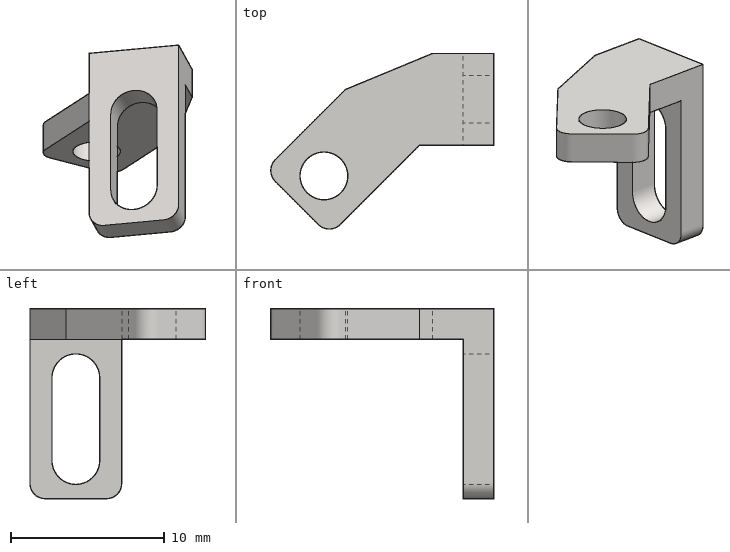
import cadquery as cq
import math

length = 14.55
height = 12.4
width = 6.0
thickness = 2.0
corner_radius = 1.0
arm_angle = 45.0
arm_inner_edge = 8.32
bend_setback = 3.32
hole_diameter = 3.1
hole_to_arm_end = 2.5
slot_width = hole_diameter
slot_length = 8.5
slot_center_depth = 7.2

arm_cos = math.cos(math.radians(arm_angle))
arm_sin = math.sin(math.radians(arm_angle))
along = cq.Vector(-arm_cos, -arm_sin)
across = cq.Vector(-arm_sin, arm_cos)

round_trim = corner_radius * (arm_cos + arm_sin - 1)
straight_inner_edge = length + round_trim - arm_inner_edge * arm_cos - width * arm_sin

half_width = width / 2
inner_bend = cq.Vector(-straight_inner_edge, -half_width)
outer_bend = cq.Vector(-straight_inner_edge - width * math.tan(math.radians(arm_angle / 2)), half_width)
inner_end = inner_bend + along * arm_inner_edge
outer_end = inner_end + across * width
bevel_start = outer_bend + cq.Vector(bend_setback, 0)
bevel_end = outer_bend + along * bend_setback
hole_center = inner_end + across * half_width - along * hole_to_arm_end


def make_plate():
    """Horizontal plate with the angled arm; its top face is at Z = 0."""
    corners = [
        cq.Vector(0, -half_width),
        cq.Vector(0, half_width),
        bevel_start,
        bevel_end,
        outer_end,
        inner_end,
        inner_bend,
    ]
    plate = cq.Workplane("XY").polyline([(p.x, p.y) for p in corners]).close().extrude(-thickness)
    for corner in (outer_end, inner_end):
        edge = cq.selectors.NearestToPointSelector((corner.x, corner.y, -thickness / 2))
        plate = plate.edges(edge).fillet(corner_radius)
    hole = (
        cq.Workplane("XY")
        .center(hole_center.x, hole_center.y)
        .circle(hole_diameter / 2)
        .extrude(-thickness)
    )
    return plate.cut(hole)


def make_leg():
    """Vertical leg with rounded bottom corners and a vertical slot."""
    leg = (
        cq.Workplane("XY")
        .box(thickness, width, height)
        .translate((-thickness / 2, 0, -height / 2))
        .edges("|X and <Z")
        .fillet(corner_radius)
    )
    slot = (
        cq.Workplane("YZ")
        .center(0, -slot_center_depth)
        .slot2D(slot_length, slot_width, 90)
        .extrude(-thickness)
    )
    return leg.cut(slot)


result = make_plate().union(make_leg())